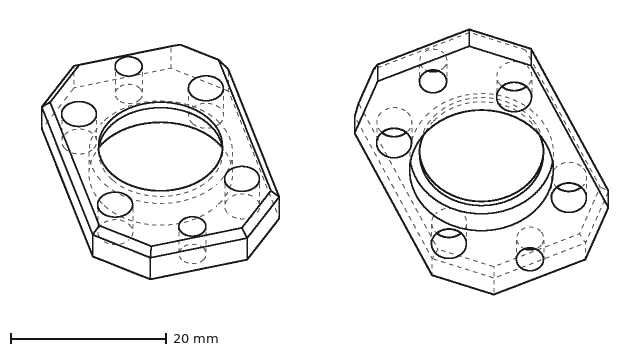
import cadquery as cq

length = 36.0
width = 25.0
thickness = 5.0
corner_cut = 6.0
edge_chamfer = 1.0

bore_diameter = 16.0
counterbore_diameter = 18.5
lip_height = 1.0

mount_hole_diameter = 4.5
mount_hole_spacing = 17.0
side_hole_diameter = 3.5
side_hole_spacing = 30.02


def corner_prism(x_sign, y_sign):
    """Triangular prism that removes one corner of the plate at 45 degrees."""
    x_corner = x_sign * length / 2
    y_corner = y_sign * width / 2
    return (
        cq.Workplane("XY")
        .moveTo(x_corner, y_corner)
        .lineTo(x_corner - x_sign * corner_cut, y_corner)
        .lineTo(x_corner, y_corner - y_sign * corner_cut)
        .close()
        .extrude(thickness)
    )


def make_plate():
    """Plate with four cut corners, chamfered on top except at the -X +Y corner."""
    plate = cq.Workplane("XY").box(length, width, thickness, centered=(True, True, False))
    for x_sign, y_sign in [(-1, -1), (1, -1), (1, 1)]:
        plate = plate.cut(corner_prism(x_sign, y_sign))
    plate = plate.faces(">Z").edges().chamfer(edge_chamfer)
    return plate.cut(corner_prism(-1, 1))


def cut_bore(body):
    body = body.faces(">Z").workplane(origin=(0, 0, 0)).hole(bore_diameter)
    counterbore = cq.Workplane("XY").circle(counterbore_diameter / 2).extrude(thickness - lip_height)
    return body.cut(counterbore)


def cut_small_holes(body):
    mount_holes = (
        cq.Workplane("XY")
        .rarray(mount_hole_spacing, mount_hole_spacing, 2, 2)
        .circle(mount_hole_diameter / 2)
        .extrude(thickness)
    )
    side_holes = (
        cq.Workplane("XY")
        .rarray(side_hole_spacing, 0.35, 2, 1)
        .circle(side_hole_diameter / 2)
        .extrude(thickness)
    )
    return body.cut(mount_holes).cut(side_holes)


result = cut_small_holes(cut_bore(make_plate()))